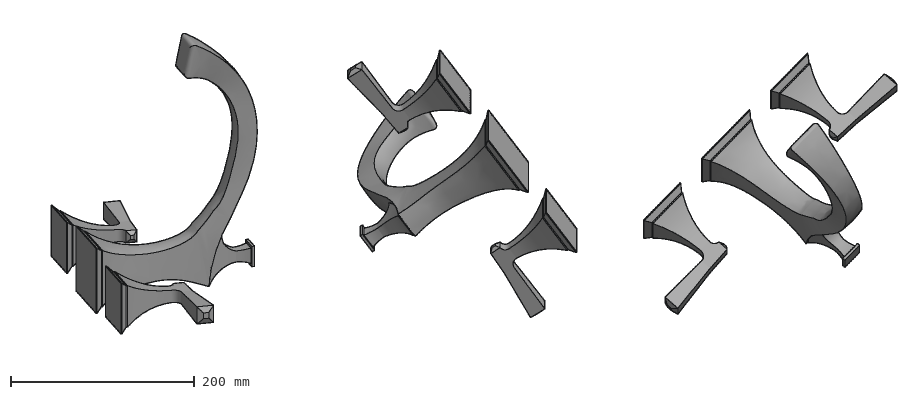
import cadquery as cq
import math


SIDE_PLANE = cq.Plane(origin=(0, 0, 0), xDir=(0, 0, 1), normal=(-1, 0, 0))

RIM_LENGTH = 1.0
BEVEL_END = 7.5
BAND_END = 9.0

SPOUT_FOOT_HALF_X = 38.5
SPOUT_FOOT_HALF_Z = 37.5
SPOUT_BAND_HALF = 32.5
TIP_ROUND = 4.3
CROWN = 1.0

TRUNK_START = (BAND_END, SPOUT_BAND_HALF, BAND_END, -SPOUT_BAND_HALF, SPOUT_BAND_HALF, SPOUT_BAND_HALF)
HEEL = (123.5, 37.5, 135.0, -29.0, 12.2, 16.5)
TRUNK_SECTIONS = [
    TRUNK_START,
    (25.0, 25.5, 25.0, -24.5, 24.5, 25.5),
    (44.8, 20.0, 44.8, -20.0, 18.5, 20.0),
    (71.5, 18.3, 71.5, -17.0, 15.0, 16.5),
    (105.5, 24.7, 105.5, -19.5, 13.0, 14.7),
    HEEL,
]
TIP = (106.0, 217.0, 114.5, 256.5, 21.0, 21.0)
NECK_START = (141.0, 58.5, 160.5, 48.0, 11.0, 16.5)
ELBOW_SECTIONS = [
    HEEL,
    (132.5, 47.0, 141.0, 5.0, 11.5, 16.5),
    NECK_START,
]
NECK_SECTIONS = [
    NECK_START,
    (157.0, 86.5, 176.5, 81.0, 11.0, 15.5),
    (168.0, 133.3, 191.5, 133.3, 11.5, 13.3),
    (159.5, 183.5, 182.7, 192.7, 11.5, 12.5),
    (140.5, 205.3, 160.5, 225.5, 12.0, 15.0),
    (123.5, 213.5, 137.5, 244.5, 15.5, 18.3),
    TIP,
]

KNOB_WAIST_Y = 169.0
KNOB_LIP_Y = 185.2
KNOB_END_Y = 188.5
KNOB_WAIST_HALF = 6.5
KNOB_LIP_HALF = 12.0
KNOB_NECK_HALF = 9.0
KNOB_HALF_EXTENT = 36.0
KNOB_SIDE_FLARE = ((8.5, 156.0), (14.5, 136.0))
KNOB_UPPER_FLARE = ((13.0, 157.5), (32.2, 152.3))
KNOB_LOWER_FLARE = ((14.0, 148.3), (28.5, 135.8))
KNOB_CORE_Y = 129.0

HANDLE_X = 102.0
HANDLE_FOOT_HALF = 29.5
HANDLE_BAND_HALF = 24.0
STEM_MID_Y = 32.2
STEM_MID_HALF = 13.0
STEM_TOP_Y = 64.5
STEM_TOP_HALF = 7.0

HEAD_UNDERSIDE_Y = 73.0
HEAD_SHORT_END_UNDERSIDE_Y = 72.0
HEAD_SHORT_END_X = -13.5
HEAD_LEVER_X = 15.5
HEAD_SHORT_END_TOP_Y = 84.5
HEAD_LEVER_TOP_Y = 86.0
HEAD_HALF_Z = 7.0

LEVER_END_X = 73.8
LEVER_END_TOP_Y = 92.0
LEVER_END_HALF_Z = 10.0
CAP_HEIGHT = 3.2
CAP_TOP_SCALE = 0.33


def rectangle_at_y(y, half_x, half_z):
    """Rectangular wire in the plane at height y above the wall."""
    corners = [(-half_x, y, -half_z), (half_x, y, -half_z), (half_x, y, half_z), (-half_x, y, half_z)]
    return cq.Wire.makePolygon([cq.Vector(*c) for c in corners], close=True)


def foot(half_x, half_z, band_half):
    """Square foot: thin rim, bevel and a narrow straight band."""
    levels = [
        rectangle_at_y(0, half_x, half_z),
        rectangle_at_y(RIM_LENGTH, half_x, half_z),
        rectangle_at_y(BEVEL_END, band_half, band_half),
        rectangle_at_y(BAND_END, band_half, band_half),
    ]
    return cq.Workplane(cq.Solid.makeLoft(levels, True))


def crowned_edge(start, end, outward):
    """Shallow arc between two corners, bulging by the crown height along outward."""
    crest = (start + end) / 2 + outward * CROWN
    return cq.Edge.makeThreePointArc(start, crest, end)


def spout_section(section, crowned):
    """Trapezoid wire of one spout cross-section, its inner and outer edges crowned or straight."""
    inner_y, inner_z, outer_y, outer_z, inner_half, outer_half = section
    inward = cq.Vector(0, inner_y - outer_y, inner_z - outer_z).normalized()
    inset = CROWN if crowned else 0
    inner = cq.Vector(0, inner_y, inner_z) - inward * inset
    outer = cq.Vector(0, outer_y, outer_z) + inward * inset
    inner_left = inner - cq.Vector(inner_half, 0, 0)
    inner_right = inner + cq.Vector(inner_half, 0, 0)
    outer_left = outer - cq.Vector(outer_half, 0, 0)
    outer_right = outer + cq.Vector(outer_half, 0, 0)
    if not crowned:
        return cq.Wire.makePolygon([inner_left, inner_right, outer_right, outer_left], close=True)
    return cq.Wire.assembleEdges([
        crowned_edge(inner_left, inner_right, inward),
        cq.Edge.makeLine(inner_right, outer_right),
        crowned_edge(outer_right, outer_left, -inward),
        cq.Edge.makeLine(outer_left, inner_left),
    ])


def swept_sections(sections):
    """Smooth body through the sections; only the foot and tip sections have straight edges."""
    straight = (TRUNK_START, TIP)
    return cq.Workplane(cq.Solid.makeLoft([spout_section(s, s not in straight) for s in sections], False))


def rounded_neck():
    """Curved neck above the elbow, with the rim of the tip face rounded."""
    neck = swept_sections(NECK_SECTIONS)
    tip_face = neck.faces("<Y")
    return tip_face.edges().fillet(TIP_ROUND)


def knob_outline(plane, plus_flare, minus_flare):
    """Waisted outline of the knob along Y, extruded through the whole knob."""
    (plus_mid, plus_mid_y), (plus_root, plus_root_y) = plus_flare
    (minus_mid, minus_mid_y), (minus_root, minus_root_y) = minus_flare
    neck_mid_y = (KNOB_WAIST_Y + KNOB_LIP_Y) / 2
    neck_mid_half = KNOB_WAIST_HALF + (KNOB_NECK_HALF - KNOB_WAIST_HALF) / 4
    return (
        cq.Workplane(plane)
        .moveTo(0, KNOB_CORE_Y)
        .lineTo(-minus_root, minus_root_y)
        .threePointArc((-minus_mid, minus_mid_y), (-KNOB_WAIST_HALF, KNOB_WAIST_Y))
        .threePointArc((-neck_mid_half, neck_mid_y), (-KNOB_NECK_HALF, KNOB_LIP_Y))
        .lineTo(-KNOB_LIP_HALF, KNOB_LIP_Y)
        .lineTo(-KNOB_LIP_HALF, KNOB_END_Y)
        .lineTo(KNOB_LIP_HALF, KNOB_END_Y)
        .lineTo(KNOB_LIP_HALF, KNOB_LIP_Y)
        .lineTo(KNOB_NECK_HALF, KNOB_LIP_Y)
        .threePointArc((neck_mid_half, neck_mid_y), (KNOB_WAIST_HALF, KNOB_WAIST_Y))
        .threePointArc((plus_mid, plus_mid_y), (plus_root, plus_root_y))
        .close()
        .extrude(KNOB_HALF_EXTENT, both=True)
    )


def knob():
    """Square-section knob: the outline across X cut to the outline across Z."""
    plan = knob_outline("XY", KNOB_SIDE_FLARE, KNOB_SIDE_FLARE)
    side = knob_outline(SIDE_PLANE, KNOB_UPPER_FLARE, KNOB_LOWER_FLARE)
    return plan.intersect(side)


def make_spout():
    return (
        foot(SPOUT_FOOT_HALF_X, SPOUT_FOOT_HALF_Z, SPOUT_BAND_HALF)
        .union(swept_sections(TRUNK_SECTIONS))
        .union(swept_sections(ELBOW_SECTIONS))
        .union(rounded_neck())
        .union(knob())
    )


def stem_outline(plane):
    """Concave flared outline of the handle stem, extruded through the stem."""
    return (
        cq.Workplane(plane)
        .moveTo(-HANDLE_BAND_HALF, BAND_END)
        .threePointArc((-STEM_MID_HALF, STEM_MID_Y), (-STEM_TOP_HALF, STEM_TOP_Y))
        .lineTo(STEM_TOP_HALF, STEM_TOP_Y)
        .threePointArc((STEM_MID_HALF, STEM_MID_Y), (HANDLE_BAND_HALF, BAND_END))
        .close()
        .extrude(HANDLE_BAND_HALF, both=True)
    )


def handle_stem():
    return stem_outline("XY").intersect(stem_outline(SIDE_PLANE))


def handle_head():
    """Block on top of the stem, with concave shoulders down to the stem."""
    lever_rise = HEAD_UNDERSIDE_Y - STEM_TOP_Y
    short_rise = HEAD_SHORT_END_UNDERSIDE_Y - STEM_TOP_Y
    lever_reach = HEAD_LEVER_X - STEM_TOP_HALF
    short_reach = -HEAD_SHORT_END_X - STEM_TOP_HALF
    sag = 1 - math.sqrt(0.5)
    return (
        cq.Workplane("XY")
        .moveTo(STEM_TOP_HALF, STEM_TOP_Y)
        .threePointArc(
            (STEM_TOP_HALF + sag * lever_reach, HEAD_UNDERSIDE_Y - sag * lever_rise),
            (HEAD_LEVER_X, HEAD_UNDERSIDE_Y),
        )
        .lineTo(HEAD_LEVER_X, HEAD_LEVER_TOP_Y)
        .lineTo(HEAD_SHORT_END_X, HEAD_SHORT_END_TOP_Y)
        .lineTo(HEAD_SHORT_END_X, HEAD_SHORT_END_UNDERSIDE_Y)
        .threePointArc(
            (-STEM_TOP_HALF - sag * short_reach, HEAD_SHORT_END_UNDERSIDE_Y - sag * short_rise),
            (-STEM_TOP_HALF, STEM_TOP_Y),
        )
        .close()
        .extrude(HEAD_HALF_Z, both=True)
    )


def lever_section(x, bottom_y, top_y, half_z, scale=1.0):
    """Rectangular section at x, shrunk about its own centre by scale."""
    middle_y = (bottom_y + top_y) / 2
    half_y = scale * (top_y - bottom_y) / 2
    half_z = scale * half_z
    corners = [
        (x, middle_y - half_y, -half_z),
        (x, middle_y + half_y, -half_z),
        (x, middle_y + half_y, half_z),
        (x, middle_y - half_y, half_z),
    ]
    return cq.Wire.makePolygon([cq.Vector(*c) for c in corners], close=True)


def lever():
    """Lever that widens outwards and ends in a low blunt pyramid."""
    end = (HEAD_UNDERSIDE_Y, LEVER_END_TOP_Y, LEVER_END_HALF_Z)
    sections = [
        lever_section(HEAD_LEVER_X, HEAD_UNDERSIDE_Y, HEAD_LEVER_TOP_Y, HEAD_HALF_Z),
        lever_section(LEVER_END_X, *end),
        lever_section(LEVER_END_X + CAP_HEIGHT, *end, CAP_TOP_SCALE),
    ]
    return cq.Workplane(cq.Solid.makeLoft(sections, True))


def short_end_cap():
    """Low blunt pyramid on the short end of the head."""
    end = (HEAD_SHORT_END_UNDERSIDE_Y, HEAD_SHORT_END_TOP_Y, HEAD_HALF_Z)
    sections = [
        lever_section(HEAD_SHORT_END_X, *end),
        lever_section(HEAD_SHORT_END_X - CAP_HEIGHT, *end, CAP_TOP_SCALE),
    ]
    return cq.Workplane(cq.Solid.makeLoft(sections, True))


def make_handle():
    """Handle at X = 0 with its lever towards +X."""
    return (
        foot(HANDLE_FOOT_HALF, HANDLE_FOOT_HALF, HANDLE_BAND_HALF)
        .union(handle_stem())
        .union(handle_head())
        .union(lever())
        .union(short_end_cap())
    )


spout = make_spout()
handles = []
for side in ("right", "left"):
    handle = make_handle().translate((HANDLE_X, 0, 0))
    if side == "left":
        handle = handle.mirror("YZ")
    handles.append(handle.val())

result = cq.Compound.makeCompound([spout.val(), *handles])